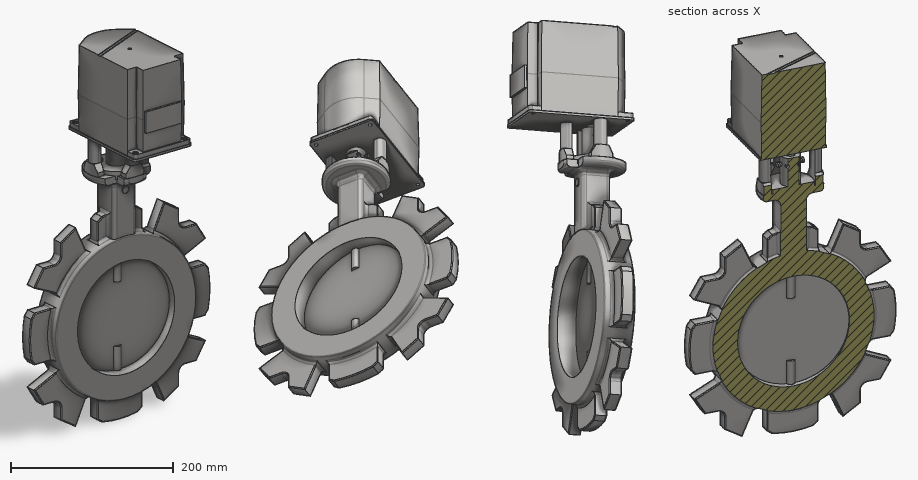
import cadquery as cq
import math


BORE_DIA = 150.0
RING_RADIUS = 108.0
RING_WIDTH = 40.0
RING_EDGE = 1.0
LUG_THICKNESS = 16.0
WEB_RADIUS = 107.0
LUG_EDGE = 1.25
LUG_REACH = 139.5
LUG_HALF_WIDTH = 34.5
LUG_CORNER_AXIAL = 8.0
LUG_CORNER_SIDE = 7.0
LUG_ROOT_FILLET = 6.0
LUG_FOOT_FILLET = 4.0
NOTCH_BOTTOM = 129.0
NOTCH_FILLET = 10.0
FORK_TIP_HALF_WIDTH = 19.0
FORK_OUTER_CORNER = (141.95, 45.5)
FORK_ROOT_CORNER = (100.0, 30.0)

FLAP_THICKNESS = 5.0
FLAP_TILT = 5.0
PIN_DIA = 12.0
PIN_INNER_END = 43.0

NECK_X = 36.5
NECK_Y = 35.0
NECK_CORNER = 5.0
NECK_FLARE = 8.5
PAD_DIA = 10.0
PAD_HEIGHT = 1.5
PAD_Z = 170.0

FLANGE_BOTTOM = 185.0
FLANGE_RADIUS = 42.0
FLANGE_FLAT_X = 40.5
ARM_START_X = 23.5
ARM_HALF_WIDTH = 17.0
FLANGE_THICKNESS = 10.0
FLANGE_EDGE = 5.0
STEP_RADIUS = 30.0
STEP_TOP = 200.5
STOP_DIA = 10.0
STOP_TOP = 203.5
STOP_X = -16.5
STOP_Y = -14.5

PILLAR_WIDTH = 16.0
PILLAR_OUTER_Y = 41.5
PILLAR_DEPTH = 12.0
FOOT_WIDTH = 28.0
FOOT_TOP = 210.5

COUPLING_DIA = 25.0
COUPLING_TOP = 239.0
SHAFT_DIA = 12.0
CLAMP_Z = 228.0
CLAMP_HEIGHT = 10.5
CLAMP_FLAT_X = -10.0
BOLT_DIA = 5.0
BOLT_HEAD_DIA = 7.0
BOLT_HEAD_THICKNESS = 2.5
BOLT_HALF_LENGTH = 17.5
CLAMP_HOLE_DIA = 4.0
CLAMP_HOLE_Y = 8.0
CLAMP_HOLE_DEPTH = 4.0

PLATE_X = (-40.5, 96.0)
PLATE_BOTTOM = 243.5
PLATE_RIM_TOP = 246.5
PLATE_TOP = 252.5
PLATE_HALF_Y = 44.5
PLATE_RIM = 0.5
PLATE_CORNER = 4.0
BOLT_HOLE_DIA = 4.2
BOLT_SINK_DIA = 7.0
BOLT_SINK_DEPTH = 1.0
BOLT_HOLE_INSET_X = 7.0
BOLT_HOLE_Y = 37.8
COVER_SPLIT = 295.5
COVER_TOP = 361.0
COVER_X = (-40.5, 94.0)
COVER_HALF_Y = 44.0
COVER_DRAFT = 1.0
NOSE_ARC_HALF_Y = 28.0
NOSE_ARC_X = -31.0
NOSE_END_X = -19.5
CORNER_CUT_X = 80.5
CORNER_CUT_Y = 30.0
KNOB_HALF_Y = 27.5
KNOB_END_X = 97.0
KNOB_Z = (278.0, 306.5)
MARK_DEPTH = 0.75
MARK_WIDTH = 4.5
MARK_X = (-16.0, 22.5)
DIMPLE_DIA = 4.6
DIMPLE_X = 27.5
DIMPLE_DEPTH = 1.5


def cylinder_z(diameter, bottom, top, x=0.0, y=0.0):
    return cq.Workplane("XY", origin=(x, y, bottom)).circle(diameter / 2).extrude(top - bottom)


def cylinder_y(diameter, start, end, x, z):
    plane = cq.Plane(origin=(x, start, z), xDir=(1, 0, 0), normal=(0, 1, 0))
    return cq.Workplane(plane).circle(diameter / 2).extrude(end - start)


def box_between(x_range, y_range, z_range):
    size = [r[1] - r[0] for r in (x_range, y_range, z_range)]
    return (
        cq.Workplane("XY")
        .box(*size, centered=False)
        .translate((x_range[0], y_range[0], z_range[0]))
    )


def across_pipe(thickness):
    """Sketch plane whose local x is +Y and local y is +Z, set back half a thickness in X."""
    return cq.Workplane("YZ", origin=(-thickness / 2, 0, 0))


def straight_lug(thickness):
    root = RING_RADIUS - 10
    shoulder = LUG_REACH - LUG_CORNER_AXIAL
    tip_half = LUG_HALF_WIDTH - LUG_CORNER_SIDE
    tip = math.sqrt(LUG_REACH**2 - tip_half**2)
    return (
        across_pipe(thickness)
        .moveTo(root, -LUG_HALF_WIDTH)
        .lineTo(shoulder, -LUG_HALF_WIDTH)
        .lineTo(tip, -tip_half)
        .threePointArc((LUG_REACH, 0), (tip, tip_half))
        .lineTo(shoulder, LUG_HALF_WIDTH)
        .lineTo(root, LUG_HALF_WIDTH)
        .close()
        .extrude(thickness)
    )


def forked_lug(thickness):
    root_u, root_v = FORK_ROOT_CORNER
    outer_u, outer_v = FORK_OUTER_CORNER
    tip_u = NOTCH_BOTTOM + FORK_TIP_HALF_WIDTH
    lug = (
        across_pipe(thickness)
        .polyline([
            (root_u, -root_v),
            (outer_u, -outer_v),
            (tip_u, -FORK_TIP_HALF_WIDTH),
            (NOTCH_BOTTOM, 0),
            (tip_u, FORK_TIP_HALF_WIDTH),
            (outer_u, outer_v),
            (root_u, root_v),
        ])
        .close()
        .extrude(thickness)
    )
    notch_edge = cq.selectors.NearestToPointSelector((0, NOTCH_BOTTOM, 0))
    return lug.edges("|X").edges(notch_edge).fillet(NOTCH_FILLET)


def lug_outline(thickness):
    """Round plate with straight lugs on the axes and forked lugs on the diagonals."""
    plate = across_pipe(thickness).circle(WEB_RADIUS).extrude(thickness)
    straight = straight_lug(thickness)
    forked = forked_lug(thickness)
    for quarter in range(4):
        plate = plate.union(straight.rotate((0, 0, 0), (1, 0, 0), 90 * quarter))
        plate = plate.union(forked.rotate((0, 0, 0), (1, 0, 0), 90 * quarter + 45))
    root_edges = [
        edge for edge in plate.edges("|X").vals()
        if math.hypot(edge.Center().y, edge.Center().z) < WEB_RADIUS + 0.5
    ]
    return plate.newObject(root_edges).fillet(LUG_ROOT_FILLET)


def lug_feet():
    """Concave fillets from the lug faces to the ring, kept only where there is a lug."""
    half = LUG_THICKNESS / 2
    outer = RING_RADIUS + LUG_FOOT_FILLET
    rise = half + LUG_FOOT_FILLET
    bow = LUG_FOOT_FILLET * (1 - math.sqrt(0.5))
    collar = (
        cq.Workplane("XY")
        .moveTo(-rise, RING_RADIUS - 5)
        .lineTo(-rise, RING_RADIUS)
        .threePointArc((-half - bow, RING_RADIUS + bow), (-half, outer))
        .lineTo(half, outer)
        .threePointArc((half + bow, RING_RADIUS + bow), (rise, RING_RADIUS))
        .lineTo(rise, RING_RADIUS - 5)
        .close()
        .revolve(360, (0, 0, 0), (1, 0, 0))
    )
    return collar.intersect(lug_outline(2 * rise))


def valve_body():
    ring = across_pipe(RING_WIDTH).circle(RING_RADIUS).extrude(RING_WIDTH).edges().fillet(RING_EDGE)
    plate = lug_outline(LUG_THICKNESS).faces("<X or >X").chamfer(LUG_EDGE)
    return ring.union(plate).union(lug_feet())


def top_lug_gusset():
    """Concave fillets where the top lug's faces and its rim meet the +Y side of the neck."""
    wall = NECK_Y / 2
    inside = wall - 2.5
    edge = wall + LUG_FOOT_FILLET
    bow = LUG_FOOT_FILLET * (1 - math.sqrt(0.5))
    half = LUG_THICKNESS / 2
    wide = half + LUG_FOOT_FILLET
    rim = math.sqrt(LUG_REACH**2 - edge**2)
    top = rim + LUG_FOOT_FILLET
    face_fillets = (
        cq.Workplane("XY")
        .moveTo(-wide, inside)
        .lineTo(-wide, wall)
        .threePointArc((-half - bow, wall + bow), (-half, edge))
        .lineTo(half, edge)
        .threePointArc((half + bow, wall + bow), (wide, wall))
        .lineTo(wide, inside)
        .close()
        .extrude(top)
    )
    rim_fillet = (
        across_pipe(2 * wide)
        .moveTo(inside, WEB_RADIUS - 5)
        .lineTo(edge, WEB_RADIUS - 5)
        .lineTo(edge, rim)
        .threePointArc((wall + bow, rim + bow), (wall, top))
        .lineTo(inside, top)
        .close()
        .extrude(2 * wide)
    )
    return face_fillets.intersect(rim_fillet)


def neck():
    """Rounded column from the ring to the flange, flared at the top, with a round pad."""
    column = (
        cq.Workplane("XY")
        .rect(NECK_X, NECK_Y)
        .extrude(FLANGE_BOTTOM)
        .edges("|Z")
        .fillet(NECK_CORNER)
    )
    pad = (
        cq.Workplane("YZ", origin=(0, 0, PAD_Z))
        .circle(PAD_DIA / 2)
        .extrude(NECK_X / 2 + PAD_HEIGHT)
    )
    return column.union(pad)


def flange_disc_on_neck():
    """Flange disc joined to the neck by a flared fillet."""
    slab = (
        cq.Workplane("XY", origin=(0, 0, FLANGE_BOTTOM))
        .circle(FLANGE_RADIUS)
        .extrude(FLANGE_THICKNESS)
        .faces("<Z")
        .edges()
        .fillet(FLANGE_EDGE)
    )
    joint = slab.union(neck())
    seam = cq.selectors.BoxSelector(
        (-NECK_X, -NECK_Y, FLANGE_BOTTOM - 0.5),
        (NECK_X, NECK_Y, FLANGE_BOTTOM + 0.5),
        boundingbox=True,
    )
    return joint.edges(seam).fillet(NECK_FLARE)


def pillar_with_foot(outer):
    """Pillar on the +X side: round outside, straight sides, on a wedge-shaped foot."""
    half = PILLAR_WIDTH / 2
    inner = outer - PILLAR_DEPTH
    foot_bottom = FLANGE_BOTTOM + FLANGE_EDGE
    pillar = (
        cq.Workplane("XY", origin=(0, 0, foot_bottom))
        .moveTo(inner, -half)
        .lineTo(outer - half, -half)
        .threePointArc((outer, 0), (outer - half, half))
        .lineTo(inner, half)
        .close()
        .extrude(PLATE_RIM_TOP - foot_bottom)
    )
    gusset = (
        cq.Workplane("YZ", origin=(inner, 0, 0))
        .polyline([
            (-FOOT_WIDTH / 2, foot_bottom),
            (FOOT_WIDTH / 2, foot_bottom),
            (FOOT_WIDTH / 2, STEP_TOP),
            (half, FOOT_TOP),
            (-half, FOOT_TOP),
            (-FOOT_WIDTH / 2, STEP_TOP),
        ])
        .close()
        .extrude(PILLAR_DEPTH)
    )
    rim = cylinder_z(2 * outer, foot_bottom, FOOT_TOP)
    return pillar.union(gusset.intersect(rim))


def flange():
    """Mounting flange with a raised step, a stop pin and the three pillars that carry the actuator."""
    body = flange_disc_on_neck()
    beyond_flat = (FLANGE_FLAT_X, FLANGE_RADIUS + 5)
    all_y = (-FLANGE_RADIUS, FLANGE_RADIUS)
    flange_z = (FLANGE_BOTTOM, FOOT_TOP)
    body = body.cut(box_between(beyond_flat, all_y, flange_z))
    beside_arm = box_between((ARM_START_X, beyond_flat[1]), (ARM_HALF_WIDTH, all_y[1]), flange_z)
    body = body.cut(beside_arm).cut(beside_arm.mirror("XZ"))
    inside_disc = FLANGE_BOTTOM + FLANGE_EDGE
    body = body.union(cylinder_z(2 * STEP_RADIUS, inside_disc, STEP_TOP))
    body = body.union(cylinder_z(STOP_DIA, inside_disc, STOP_TOP, STOP_X, STOP_Y))
    body = body.union(pillar_with_foot(FLANGE_FLAT_X))
    side_pillar = pillar_with_foot(PILLAR_OUTER_Y)
    for turn in (-90, 90):
        body = body.union(side_pillar.rotate((0, 0, 0), (0, 0, 1), turn))
    return body


def coupling():
    """Stem coupling with a clamping flat, two blind holes and a cross bolt."""
    radius = COUPLING_DIA / 2
    clamp_z = (CLAMP_Z - CLAMP_HEIGHT / 2, CLAMP_Z + CLAMP_HEIGHT / 2)
    body = cylinder_z(COUPLING_DIA, STEP_TOP, COUPLING_TOP)
    body = body.cut(box_between((-COUPLING_DIA, CLAMP_FLAT_X), (-radius, radius), clamp_z))
    holes = (
        cq.Workplane("YZ", origin=(-radius, 0, CLAMP_Z))
        .pushPoints([(-CLAMP_HOLE_Y, 0), (CLAMP_HOLE_Y, 0)])
        .circle(CLAMP_HOLE_DIA / 2)
        .extrude(radius + CLAMP_FLAT_X + CLAMP_HOLE_DEPTH)
    )
    body = body.cut(holes)
    body = body.union(cylinder_y(BOLT_DIA, -BOLT_HALF_LENGTH, BOLT_HALF_LENGTH, 0, CLAMP_Z))
    head_start = BOLT_HALF_LENGTH - BOLT_HEAD_THICKNESS
    body = body.union(cylinder_y(BOLT_HEAD_DIA, head_start, BOLT_HALF_LENGTH, 0, CLAMP_Z))
    body = body.union(cylinder_y(BOLT_HEAD_DIA, -BOLT_HALF_LENGTH, -head_start, 0, CLAMP_Z))
    return body.union(cylinder_z(SHAFT_DIA, STEP_TOP, PLATE_BOTTOM))


def base_plate():
    """Actuator base: a rim at the bottom, a plate flush with the cover's sides above, four holes."""
    left, right = PLATE_X
    sides = (-PLATE_HALF_Y, PLATE_HALF_Y)
    rim = box_between(PLATE_X, sides, (PLATE_BOTTOM, PLATE_RIM_TOP))
    inner_x = (left + PLATE_RIM, right - PLATE_RIM)
    cover_inset = (COVER_SPLIT - PLATE_RIM_TOP) * math.tan(math.radians(COVER_DRAFT))
    flush_half_y = COVER_HALF_Y - cover_inset
    inner_y = (-flush_half_y, flush_half_y)
    upper = box_between(inner_x, inner_y, (PLATE_RIM_TOP, PLATE_TOP))
    plate = rim.edges("|Z").fillet(PLATE_CORNER).union(upper.edges("|Z").fillet(PLATE_CORNER))
    hole_x = (left + BOLT_HOLE_INSET_X, right - BOLT_HOLE_INSET_X)
    for x in hole_x:
        for y in (-BOLT_HOLE_Y, BOLT_HOLE_Y):
            plate = plate.cut(cylinder_z(BOLT_HOLE_DIA, PLATE_BOTTOM, PLATE_TOP, x, y))
            plate = plate.cut(cylinder_z(BOLT_SINK_DIA, PLATE_TOP - BOLT_SINK_DEPTH, PLATE_TOP, x, y))
    return plate


def cover_half(height):
    """Drafted half of the cover, built from the split plane up (or down if negative)."""
    left, right = COVER_X
    outline = (
        cq.Workplane("XY", origin=(0, 0, COVER_SPLIT))
        .moveTo(NOSE_END_X, -COVER_HALF_Y)
        .lineTo(CORNER_CUT_X, -COVER_HALF_Y)
        .lineTo(CORNER_CUT_X, -CORNER_CUT_Y)
        .lineTo(right, -CORNER_CUT_Y)
        .lineTo(right, CORNER_CUT_Y)
        .lineTo(CORNER_CUT_X, CORNER_CUT_Y)
        .lineTo(CORNER_CUT_X, COVER_HALF_Y)
        .lineTo(NOSE_END_X, COVER_HALF_Y)
        .lineTo(NOSE_ARC_X, NOSE_ARC_HALF_Y)
        .threePointArc((left, 0), (NOSE_ARC_X, -NOSE_ARC_HALF_Y))
        .close()
    )
    return outline.extrude(height, taper=COVER_DRAFT)


def cover():
    """Actuator cover: rounded nose, corner cut-outs, a knob and a diagonal groove on top."""
    body = cover_half(COVER_TOP - COVER_SPLIT).union(cover_half(PLATE_RIM_TOP - COVER_SPLIT))
    knob_x = (COVER_X[1] - 5, KNOB_END_X)
    body = body.union(box_between(knob_x, (-KNOB_HALF_Y, KNOB_HALF_Y), KNOB_Z))
    start, end = MARK_X
    half = MARK_WIDTH / 2
    groove = (
        cq.Workplane("XY", origin=(0, 0, COVER_TOP - MARK_DEPTH))
        .polyline([
            (start - half, COVER_HALF_Y),
            (start + half, COVER_HALF_Y),
            (end + half, -COVER_HALF_Y),
            (end - half, -COVER_HALF_Y),
        ])
        .close()
        .extrude(MARK_DEPTH)
    )
    dimple = cylinder_z(DIMPLE_DIA, COVER_TOP - DIMPLE_DEPTH, COVER_TOP, DIMPLE_X)
    return body.cut(groove).cut(dimple)


def flap():
    """Slightly turned closing disc, its edge sunk in the bore wall, with stub pins at both ends."""
    seat_radius = BORE_DIA / 2 + 5
    slab = (
        across_pipe(FLAP_THICKNESS)
        .rect(3 * seat_radius, 3 * seat_radius)
        .extrude(FLAP_THICKNESS)
        .rotate((0, 0, 0), (0, 0, 1), -FLAP_TILT)
    )
    seat = across_pipe(RING_WIDTH).circle(seat_radius).extrude(RING_WIDTH)
    upper_pin = cylinder_z(PIN_DIA, PIN_INNER_END, seat_radius)
    lower_pin = cylinder_z(PIN_DIA, -seat_radius, -PIN_INNER_END)
    return slab.intersect(seat).union(upper_pin).union(lower_pin)


bore = across_pipe(RING_WIDTH).circle(BORE_DIA / 2).extrude(RING_WIDTH)
gusset = top_lug_gusset()
valve = valve_body().union(flange()).union(gusset).union(gusset.mirror("XZ"))
valve = valve.cut(bore).union(flap())
actuator = base_plate().union(cover())
result = valve.union(coupling()).union(actuator)